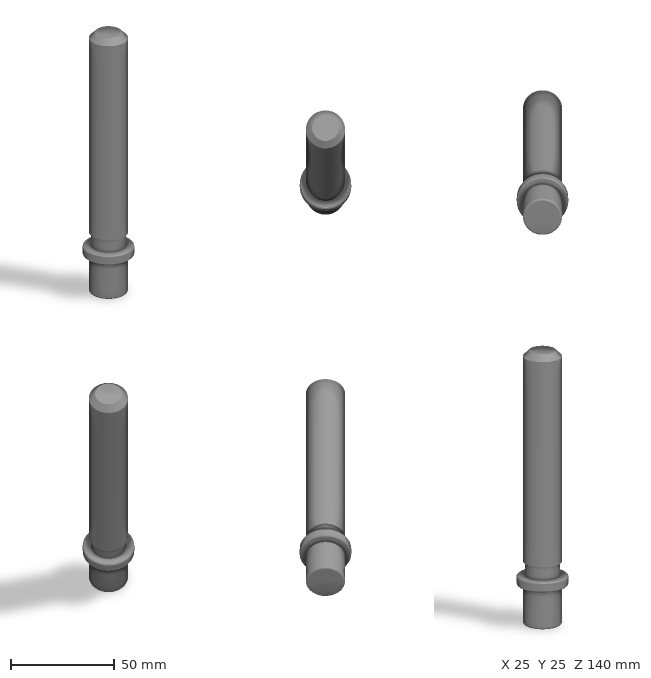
import cadquery as cq

total_length = 140.0

pin_diameter = 19.0
neck_diameter = 17.0
flange_diameter = 25.0

shank_length = 20.0
flange_thickness = 5.0
neck_length = 7.0

shank_bottom_fillet = 1.0
shank_top_chamfer = 1.0
tip_chamfer = 3.0
flange_chamfer = 0.5

relief_width = 0.5
relief_diameter = pin_diameter - 2 * shank_top_chamfer


def chamfered_cylinder(diameter, bottom, top, bottom_chamfer=0, top_chamfer=0):
    """Cylinder on the Z axis between two heights, with its end edges chamfered where asked."""
    cylinder = cq.Workplane("XY").workplane(offset=bottom).circle(diameter / 2).extrude(top - bottom)
    if bottom_chamfer > 0:
        cylinder = cylinder.faces("<Z").edges().chamfer(bottom_chamfer)
    if top_chamfer > 0:
        cylinder = cylinder.faces(">Z").edges().chamfer(top_chamfer)
    return cylinder


def make_shank():
    """Lower fitting shank: rounded at its free end and chamfered next to the relief groove."""
    shank = chamfered_cylinder(pin_diameter, 0, shank_length - relief_width, top_chamfer=shank_top_chamfer)
    return shank.faces("<Z").edges().fillet(shank_bottom_fillet)


flange_top = shank_length + flange_thickness
neck_top = flange_top + neck_length

shank = make_shank()
relief = chamfered_cylinder(relief_diameter, shank_length - relief_width, shank_length)
flange = chamfered_cylinder(flange_diameter, shank_length, flange_top, flange_chamfer, flange_chamfer)
neck = chamfered_cylinder(neck_diameter, flange_top, neck_top)
pin = chamfered_cylinder(pin_diameter, neck_top, total_length, top_chamfer=tip_chamfer)

result = shank.union(relief).union(flange).union(neck).union(pin)